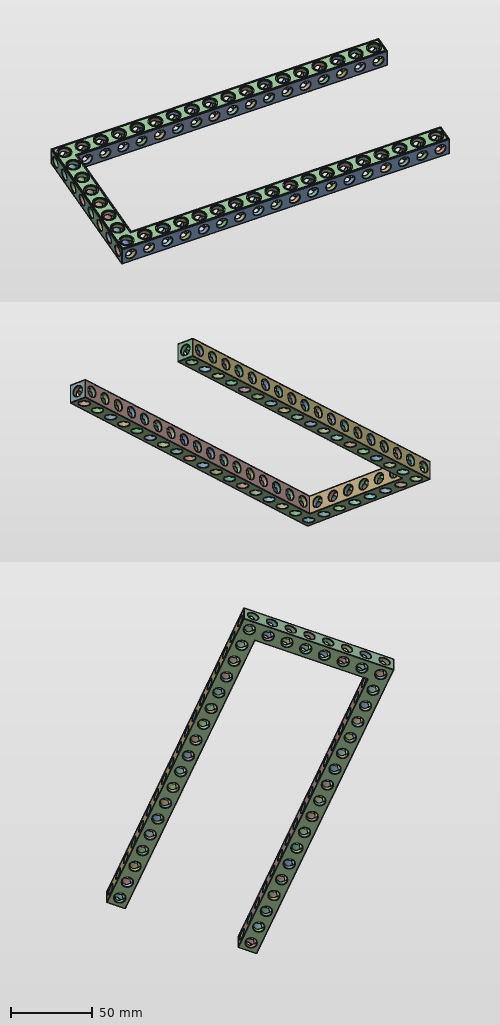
import cadquery as cq

pitch = 12.5
crossbar_holes = 8
arm_holes = 18
beam = pitch
width = crossbar_holes * pitch
length = arm_holes * pitch

chamfer_size = 0.3

bore_diameter = 7.0

recess_depth = 0.2
hole_rim_diameter = 9.2
rim_width = (hole_rim_diameter - bore_diameter) / 2

bottom_z = -beam / 2
top_z = beam / 2
recess_floor_z = top_z - recess_depth

arm_x = (width - beam) / 2
crossbar_y = -(length - beam) / 2
columns = [-arm_x + i * pitch for i in range(crossbar_holes)]
rows = [crossbar_y + i * pitch for i in range(arm_holes)]
vertical_holes = [(x, crossbar_y) for x in columns]
vertical_holes += [(x, y) for x in (-arm_x, arm_x) for y in rows[1:]]


def frame_slab(z_low, z_high, inset):
    """U-shaped slab between two heights, its whole outline moved inwards by inset."""
    half_width = width / 2 - inset
    half_opening = width / 2 - beam + inset
    end_y = length / 2 - inset
    crossbar_outer_y = -length / 2 + inset
    crossbar_inner_y = -length / 2 + beam - inset
    outline = [
        (-half_width, crossbar_outer_y),
        (half_width, crossbar_outer_y),
        (half_width, end_y),
        (half_opening, end_y),
        (half_opening, crossbar_inner_y),
        (-half_opening, crossbar_inner_y),
        (-half_opening, end_y),
        (-half_width, end_y),
    ]
    return cq.Workplane("XY", origin=(0, 0, z_low)).polyline(outline).close().extrude(z_high - z_low)


def bore_cutter(span):
    """Bore along Z, centred on the origin, opening out into a conical mouth at both ends."""
    radius = bore_diameter / 2
    mouth_radius = radius + chamfer_size
    half_span = span / 2
    profile = [
        (0, -half_span),
        (mouth_radius, -half_span),
        (radius, -half_span + chamfer_size),
        (radius, half_span - chamfer_size),
        (mouth_radius, half_span),
        (0, half_span),
    ]
    return cq.Workplane("XZ").polyline(profile).close().revolve(360, (0, 0), (0, 1))


def bore_along_x(span):
    return bore_cutter(span).rotate((0, 0, 0), (0, 1, 0), 90)


def bore_along_y(span):
    return bore_cutter(span).rotate((0, 0, 0), (1, 0, 0), 90)


def make_frame():
    """Frame with every edge chamfered except the two inside corners of the U."""
    horizontal_edges = "#Z"
    outer_vertical_edges = "(|Z and <Y) or (|Z and >Y)"
    chamfered_edges = f"({horizontal_edges}) or ({outer_vertical_edges})"
    return frame_slab(bottom_z, top_z, 0).edges(chamfered_edges).chamfer(chamfer_size)


def recess_cutter():
    hole_rims = (
        cq.Workplane("XY", origin=(0, 0, recess_floor_z))
        .pushPoints(vertical_holes)
        .circle(hole_rim_diameter / 2)
        .extrude(recess_depth)
    )
    return frame_slab(recess_floor_z, top_z, rim_width).cut(hole_rims)


def cut_vertical_bores(body):
    bore = bore_cutter(beam)
    for x, y in vertical_holes:
        body = body.cut(bore.translate((x, y, 0)))
    return body


def cut_arm_bores(body):
    """Bore each arm from end to end and cross-bore it at every row beyond the crossbar."""
    lengthwise = bore_along_y(length)
    crosswise = bore_along_x(beam)
    for x in (-arm_x, arm_x):
        body = body.cut(lengthwise.translate((x, 0, 0)))
        for y in rows[1:]:
            body = body.cut(crosswise.translate((x, y, 0)))
    return body


def cut_crossbar_bores(body):
    """Bore the crossbar from end to end and cross-bore it at every column between the arms."""
    body = body.cut(bore_along_x(width).translate((0, crossbar_y, 0)))
    crosswise = bore_along_y(beam)
    for x in columns[1:-1]:
        body = body.cut(crosswise.translate((x, crossbar_y, 0)))
    return body


result = make_frame().cut(recess_cutter())
result = cut_vertical_bores(result)
result = cut_arm_bores(result)
result = cut_crossbar_bores(result)